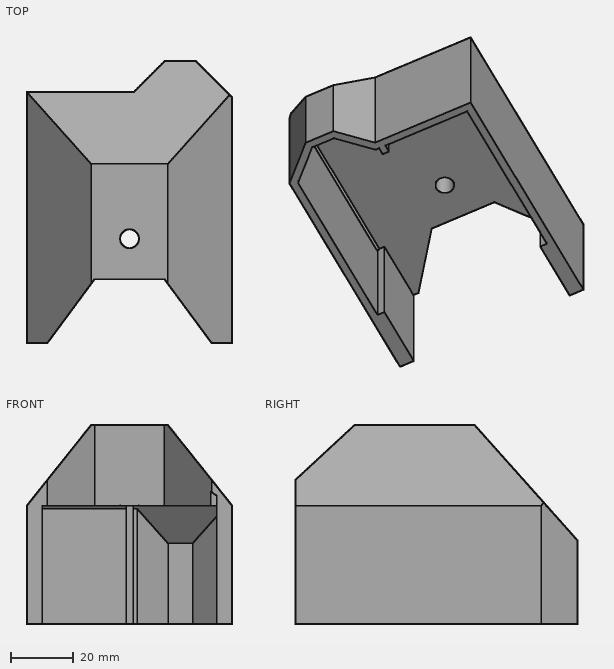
import cadquery as cq
import math

width = 66.0
length = 90.7
height = 64.0
eave_height = 38.1
bump_depth = 10.0
back = length - bump_depth
center_x = width / 2

ridge_inset = 20.7
ridge_back = 57.6

bump_left = 44.35
bump_right = 54.3
bump_start = bump_left - bump_depth
bump_end_y = length - (width - bump_right)

wall = 2.5
pillar_thickness = 5.0
pillar_length = 21.1

notch_depth = 20.5
notch_inset_front = 6.6
notch_inset_back = 21.8

hole_diameter = 6.0
hole_y = 33.6
rib_width = 2.3
rib_left = 31.9
rib_depth = 2.5
recess_depth = 0.3
recess_inner_height = 42.6
recess_outer_height = 41.3


def footprint(inset):
    """Plan outline with its side and back walls moved inwards; the front stays at y = 0."""
    flank_shift = inset * math.tan(math.radians(22.5))
    return [
        (inset, 0),
        (width - inset, 0),
        (width - inset, bump_end_y - flank_shift),
        (bump_right - flank_shift, length - inset),
        (bump_left + flank_shift, length - inset),
        (bump_start + flank_shift, back - inset),
        (inset, back - inset),
    ]


def hipped_block(inset, top):
    """Footprint under a roof whose planes are offset inwards by the inset."""
    side_slope = (height - eave_height) / ridge_inset
    back_slope = (height - eave_height) / (back - ridge_back)
    side_drop = inset * math.hypot(1, side_slope)
    back_drop = inset * math.hypot(1, back_slope)
    side_top = (top - eave_height + side_drop) / side_slope
    back_top = back - (top - eave_height + back_drop) / back_slope
    back_end = eave_height - back_drop - back_slope * bump_depth

    block = cq.Workplane("XY").polyline(footprint(inset)).close().extrude(top)
    side_profile = (
        cq.Workplane("XZ")
        .polyline([
            (0, 0),
            (width, 0),
            (width, eave_height - side_drop),
            (width - side_top, top),
            (side_top, top),
            (0, eave_height - side_drop),
        ])
        .close()
        .extrude(-length)
    )
    back_profile = (
        cq.Workplane("YZ")
        .polyline([(0, 0), (length, 0), (length, back_end), (back_top, top), (0, top)])
        .close()
        .extrude(width)
    )
    return block.intersect(side_profile).intersect(back_profile)


def pillar(x):
    """Thick front part of a side wall."""
    block = cq.Workplane("XY").box(pillar_thickness, pillar_length, eave_height, centered=False)
    return block.translate((x, 0, 0))


def front_notch():
    return (
        cq.Workplane("XY")
        .workplane(offset=eave_height)
        .polyline([
            (notch_inset_front, 0),
            (width - notch_inset_front, 0),
            (width - notch_inset_back, notch_depth),
            (notch_inset_back, notch_depth),
        ])
        .close()
        .extrude(height - eave_height)
    )


def pillar_recess():
    """Shallow step in the front face, above the right end of the cavity opening."""
    inner_x = width - notch_inset_front - recess_depth
    outer_x = width - pillar_thickness
    return (
        cq.Workplane("XZ")
        .polyline([
            (inner_x, eave_height),
            (outer_x, eave_height),
            (outer_x, recess_outer_height),
            (inner_x, recess_inner_height),
        ])
        .close()
        .extrude(-recess_depth)
    )


def back_rib():
    """Vertical rib on the inside of the back wall."""
    return (
        cq.Workplane("XY")
        .box(rib_width, rib_depth + wall, eave_height, centered=False)
        .translate((rib_left, back - wall - rib_depth, 0))
    )


def top_hole():
    return cq.Workplane("XY").center(center_x, hole_y).circle(hole_diameter / 2).extrude(height)


outer = hipped_block(0, height)
cavity = hipped_block(wall, eave_height)
for pillar_x in (0, width - pillar_thickness):
    cavity = cavity.cut(pillar(pillar_x))
cavity = cavity.cut(back_rib())

result = outer.cut(cavity).cut(front_notch()).cut(pillar_recess()).cut(top_hole())